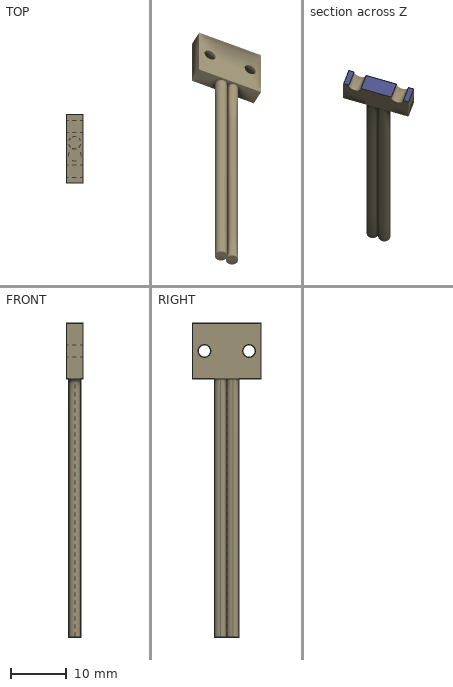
import cadquery as cq

total_height = 56.5
block_thickness = 3.0
block_width = 12.4
block_height = 10.0

hole_diameter = 2.2
hole_spacing = 8.0

lead_diameter = 2.2
lead_spacing = lead_diameter
lead_length = total_height - block_height
lead_embed = 0.55

block = cq.Workplane("XY").box(
    block_thickness, block_width, block_height, centered=(True, True, False)
)

holes = (
    cq.Workplane("YZ")
    .pushPoints([(side * hole_spacing / 2, block_height / 2) for side in (-1, 1)])
    .circle(hole_diameter / 2)
    .extrude(block_thickness, both=True)
)

leads = (
    cq.Workplane("XY", origin=(0, 0, -lead_length))
    .pushPoints([(0, side * lead_spacing / 2) for side in (-1, 1)])
    .circle(lead_diameter / 2)
    .extrude(lead_length + lead_embed)
)

result = block.cut(holes).union(leads)